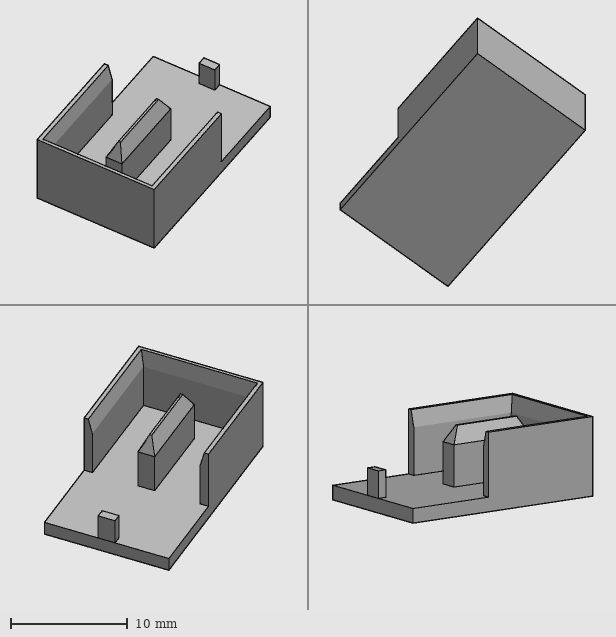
import cadquery as cq

WIDTH = 11.8
LENGTH = 19.0
HEIGHT = 7.0

FLOOR_THICKNESS = 1.3
WALL_LENGTH = 11.0
SIDE_WALL_THICKNESS = 0.8
FRONT_WALL_THICKNESS = 0.7
BEVEL_WIDTH = SIDE_WALL_THICKNESS / 2
BEVEL_HEIGHT = 1.5

RIDGE_WIDTH = 1.6
RIDGE_LENGTH = 8.0
SHOULDER_Z = 5.0
CREST_HEIGHT = BEVEL_HEIGHT
CREST_TOP_WIDTH = 0.2
CREST_TOP_LENGTH = 6.25

POST_WIDTH = RIDGE_WIDTH
POST_DEPTH = 0.8
POST_TOP_Z = 3.7


def block(width, y_start, y_end, z_bottom, z_top):
    """Box centred on X between the given Y and Z limits."""
    return (
        cq.Workplane("XY", origin=(0, (y_start + y_end) / 2, z_bottom))
        .rect(width, y_end - y_start)
        .extrude(z_top - z_bottom)
    )


def make_rim_bevel():
    """Top of the cavity, widening to both sides and to the front as it rises to the rim."""
    cavity_width = WIDTH - 2 * SIDE_WALL_THICKNESS
    cavity_length = WALL_LENGTH - FRONT_WALL_THICKNESS
    return (
        cq.Workplane("XY", origin=(0, WALL_LENGTH - cavity_length / 2, HEIGHT - BEVEL_HEIGHT))
        .rect(cavity_width, cavity_length)
        .workplane(offset=BEVEL_HEIGHT)
        .center(0, -BEVEL_WIDTH / 2)
        .rect(cavity_width + 2 * BEVEL_WIDTH, cavity_length + BEVEL_WIDTH)
        .loft(ruled=True)
    )


def make_housing():
    """Floor and U-shaped wall in one piece, open at the top and towards the rear."""
    floor = block(WIDTH, 0, LENGTH, 0, FLOOR_THICKNESS)
    wall_block = block(WIDTH, 0, WALL_LENGTH, 0, HEIGHT)
    cavity = block(
        WIDTH - 2 * SIDE_WALL_THICKNESS,
        FRONT_WALL_THICKNESS,
        WALL_LENGTH,
        FLOOR_THICKNESS,
        HEIGHT,
    )
    return floor.union(wall_block).cut(cavity).cut(make_rim_bevel()).clean()


def make_ridge():
    """Upright bar, flush with the rear of the wall, whose crest tapers on all four sides."""
    bar = block(RIDGE_WIDTH, WALL_LENGTH - RIDGE_LENGTH, WALL_LENGTH, FLOOR_THICKNESS, SHOULDER_Z)
    crest = (
        cq.Workplane("XY", origin=(0, WALL_LENGTH - RIDGE_LENGTH / 2, SHOULDER_Z))
        .rect(RIDGE_WIDTH, RIDGE_LENGTH)
        .workplane(offset=CREST_HEIGHT)
        .rect(CREST_TOP_WIDTH, CREST_TOP_LENGTH)
        .loft(ruled=True)
    )
    return bar.union(crest)


def make_post():
    """Small stop standing on the floor, flush with the rear edge."""
    return block(POST_WIDTH, LENGTH - POST_DEPTH, LENGTH, FLOOR_THICKNESS, POST_TOP_Z)


housing = make_housing()
ridge = make_ridge()
post = make_post()

bodies = [housing, ridge, post]
result = cq.Compound.makeCompound([body.solids().val() for body in bodies])